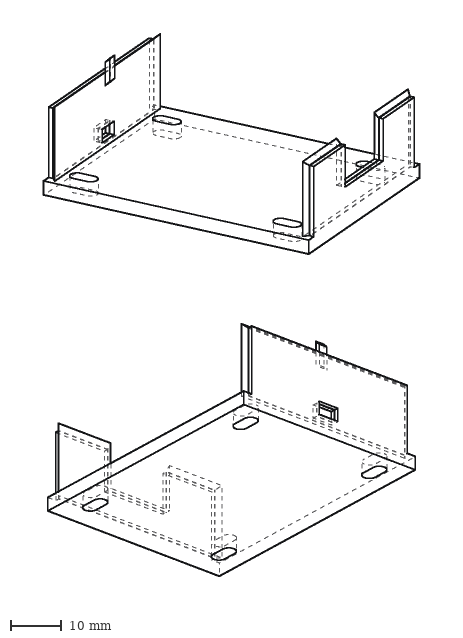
import cadquery as cq

LENGTH = 60.0
WIDTH = 44.0
PLATE_THICKNESS = 3.0

PANEL_THICKNESS = 0.9
GAP = 0.1
LIP_THICKNESS = 0.95
PANEL_WIDTH = 39.95
PANEL_TOP = 18.0
LIP_START = PANEL_THICKNESS + GAP
WALL_DEPTH = LIP_START + LIP_THICKNESS

SLOT_LENGTH = 6.0
SLOT_WIDTH = 3.0
SLOT_END_MARGIN_LEFT = 3.0
SLOT_END_MARGIN_RIGHT = 5.0
SLOT_Y = 16.5

WINDOW_WIDTH = 4.7
WINDOW_HEIGHT = 2.9
WINDOW_BOTTOM = 4.2
WINDOW_Y = 0.25

NOTCH_WIDTH = 15.0
NOTCH_FLOOR = 9.0

FINGER_TOP = 22.0
FINGER_WIDTH = 2.0
FINGER_DEPTH = 1.0
FINGER_SIDE_HEIGHT = 5.0


def box(x_min, depth, y_center, width, z_min, height):
    """Box from its X start, Y centre and Z start."""
    corner = (x_min, y_center - width / 2, z_min)
    return cq.Workplane("XY").box(depth, width, height, centered=False).translate(corner)


def end_wall():
    """Left wall; the lip widens and rises at 45 degrees towards the inside."""
    left = -LENGTH / 2
    height = PANEL_TOP - PLATE_THICKNESS
    panel = box(left, PANEL_THICKNESS, 0, PANEL_WIDTH, PLATE_THICKNESS, height)
    half_width = PANEL_WIDTH / 2
    lip_plan = [
        (left + LIP_START, -half_width),
        (left + WALL_DEPTH, -half_width - LIP_THICKNESS),
        (left + WALL_DEPTH, half_width + LIP_THICKNESS),
        (left + LIP_START, half_width),
    ]
    lip_side = [
        (left + LIP_START, PLATE_THICKNESS),
        (left + WALL_DEPTH, PLATE_THICKNESS),
        (left + WALL_DEPTH, PANEL_TOP + LIP_THICKNESS),
        (left + LIP_START, PANEL_TOP),
    ]
    lip_from_plan = cq.Workplane("XY").polyline(lip_plan).close().extrude(PANEL_TOP + LIP_THICKNESS)
    lip_from_side = cq.Workplane("XZ").polyline(lip_side).close().extrude(WIDTH / 2, both=True)
    return panel.union(lip_from_plan.intersect(lip_from_side))


def left_wall():
    window = box(-LENGTH / 2, WALL_DEPTH, WINDOW_Y, WINDOW_WIDTH, WINDOW_BOTTOM, WINDOW_HEIGHT)
    return end_wall().cut(window)


def right_wall():
    notch_height = PANEL_TOP + LIP_THICKNESS - NOTCH_FLOOR
    notch = box(LENGTH / 2 - WALL_DEPTH, WALL_DEPTH, 0, NOTCH_WIDTH, NOTCH_FLOOR, notch_height)
    return end_wall().mirror("YZ").cut(notch)


def finger():
    """Parallelogram finger whose top and bottom rise at 45 degrees."""
    x_back = -LENGTH / 2 + WALL_DEPTH
    x_front = x_back + FINGER_DEPTH
    z_back = FINGER_TOP - FINGER_DEPTH
    profile = [
        (x_back, z_back - FINGER_SIDE_HEIGHT),
        (x_front, FINGER_TOP - FINGER_SIDE_HEIGHT),
        (x_front, FINGER_TOP),
        (x_back, z_back),
    ]
    return cq.Workplane("XZ").polyline(profile).close().extrude(FINGER_WIDTH / 2, both=True)


def plate():
    left_x = -LENGTH / 2 + SLOT_END_MARGIN_LEFT + SLOT_LENGTH / 2
    right_x = LENGTH / 2 - SLOT_END_MARGIN_RIGHT - SLOT_LENGTH / 2
    centers = [(x, y) for x in (left_x, right_x) for y in (-SLOT_Y, SLOT_Y)]
    slots = cq.Workplane("XY").pushPoints(centers).slot2D(SLOT_LENGTH, SLOT_WIDTH).extrude(PLATE_THICKNESS)
    return box(-LENGTH / 2, LENGTH, 0, WIDTH, 0, PLATE_THICKNESS).cut(slots)


result = plate().union(left_wall()).union(right_wall()).union(finger())